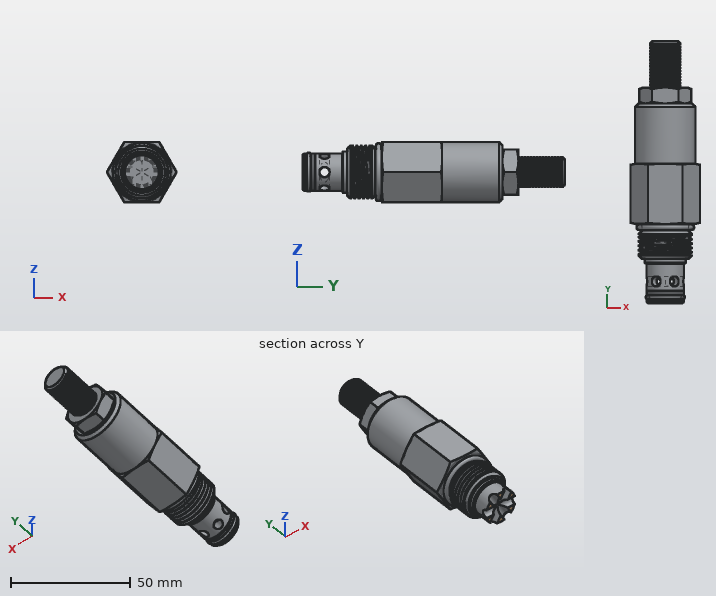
import cadquery as cq
import math

TOTAL_LENGTH = 110.2

NOSE_DIA = 15.9
LAND_DIA = 15.8
NOSE_CHAMFER = 0.8
NOSE_GROOVE_DIA = 13.3
NOSE_GROOVE_START = 1.5
NOSE_GROOVE_END = 3.7
SLIT_START = 5.1
SLIT_WIDTH = 0.3
SLIT_DEPTH = 0.3
PORT_DIA = 4.2
PORT_COUNT = 6
PORT_Y = 9.3

COLLAR_DIA = 17.4
COLLAR_START = 16.6
COLLAR_CHAMFER_LENGTH = 0.4
COLLAR_END = 18.7

RELIEF_START = 30.5
THREAD_DIA = 22.3
THREAD_ROOT_DIA = 19.6
THREAD_TURNS = 5
THREAD_START_ANGLE = 82.0
RELIEF_DIA = 19.5

HEX_START = 33.4
HEX_END = 58.6
HEX_CORNERS = 29.3
HEX_FACE_DIA = 25.3
HEX_BEVEL = 0.4
BARREL_DIA = 25.5
BARREL_END = 83.9
BARREL_CHAMFER = 1.5

NUT_HEIGHT = 6.6
NUT_ACROSS_FLATS = 19.1
NUT_FACE_DIA = 19.1
NUT_BEVEL = 0.7
STUD_DIA = 12.7
STUD_ROOT_DIA = 10.8
STUD_TURNS = 14.6
STUD_CHAMFER = 1.1
STUD_START_ANGLE = 180.0

CREST_SHARE = 0.12
ROOT_SHARE = 0.08
FLANK_STEPS = 9

SMALL_RING_SECTION = 1.5
LARGE_RING_SECTION = 2.4

NUT_END = BARREL_END + NUT_HEIGHT
STUD_THREAD_END = TOTAL_LENGTH - STUD_CHAMFER
THREAD_CONE = (THREAD_DIA - THREAD_ROOT_DIA) / 2
THREAD_START = COLLAR_END + THREAD_CONE
THREAD_END = RELIEF_START - THREAD_CONE


def revolve_profile(points):
    """Turn a closed outline of (radius, Y) points about the Y axis."""
    return cq.Workplane("XY").polyline(points).close().revolve(360, (0, 0, 0), (0, 1, 0))


def along_y(shape):
    """Lay a shape built along Z down along Y."""
    return shape.rotate((0, 0, 0), (1, 0, 0), -90)


def thread_section(crest_dia, root_dia):
    """Cross-section of a thread: a crest arc and a root arc joined by two spiral flanks."""
    crest, root = crest_dia / 2, root_dia / 2
    crest_edge = math.pi * CREST_SHARE
    root_edge = math.pi * (1 - ROOT_SHARE)

    def flank_point(step, side):
        part = step / FLANK_STEPS
        radius = crest + (root - crest) * part
        angle = side * (crest_edge + (root_edge - crest_edge) * part)
        return (radius * math.cos(angle), radius * math.sin(angle))

    falling = [flank_point(step, 1) for step in range(FLANK_STEPS + 1)]
    rising = [flank_point(step, -1) for step in reversed(range(FLANK_STEPS + 1))]
    return (
        cq.Workplane("XY")
        .moveTo(*rising[-1])
        .threePointArc((crest, 0), falling[0])
        .spline(falling[1:], includeCurrent=True)
        .threePointArc((-root, 0), rising[0])
        .spline(rising[1:], includeCurrent=True)
        .close()
    )


def threaded_rod(crest_dia, root_dia, turns, start, end, start_angle):
    """Right-handed threaded rod, made by twisting the thread's cross-section along its length."""
    length = end - start
    rod = thread_section(crest_dia, root_dia).twistExtrude(length, 360 * turns)
    return along_y(rod.rotate((0, 0, 0), (0, 0, 1), start_angle)).translate((0, start, 0))


def bevelled_hexagon(across_corners, start, end, face_dia, bevel):
    """Hexagonal prism with corners on X, its corners bevelled at both ends."""
    prism = cq.Workplane("XY").polygon(6, across_corners).extrude(end - start)
    corner, face = across_corners / 2, face_dia / 2
    envelope = revolve_profile([
        (0, start),
        (face, start),
        (corner, start + bevel),
        (corner, end - bevel),
        (face, end),
        (0, end),
    ])
    return along_y(prism).translate((0, start, 0)).intersect(envelope)


def make_nose():
    """Nose with its groove, slit and ports, the collar, and the cone that leads into the thread."""
    nose, land, collar = NOSE_DIA / 2, LAND_DIA / 2, COLLAR_DIA / 2
    floor = NOSE_GROOVE_DIA / 2
    slit_end = SLIT_START + SLIT_WIDTH
    body = revolve_profile([
        (0, 0),
        (land - NOSE_CHAMFER, 0),
        (land, NOSE_CHAMFER),
        (land, NOSE_GROOVE_START),
        (floor, NOSE_GROOVE_START),
        (floor, NOSE_GROOVE_END),
        (land, NOSE_GROOVE_END),
        (land, SLIT_START),
        (land - SLIT_DEPTH, SLIT_START),
        (land - SLIT_DEPTH, slit_end),
        (nose, slit_end),
        (nose, COLLAR_START),
        (collar, COLLAR_START + COLLAR_CHAMFER_LENGTH),
        (collar, COLLAR_END),
        (THREAD_ROOT_DIA / 2, COLLAR_END),
        (THREAD_DIA / 2, THREAD_START),
        (0, THREAD_START),
    ])
    for index in range(PORT_COUNT):
        port = cq.Workplane("YZ").circle(PORT_DIA / 2).extrude(NOSE_DIA)
        port = port.rotate((0, 0, 0), (0, 1, 0), index * 360 / PORT_COUNT)
        body = body.cut(port.translate((0, PORT_Y, 0)))
    return body


def make_cavity_thread():
    return threaded_rod(
        THREAD_DIA, THREAD_ROOT_DIA, THREAD_TURNS, THREAD_START, THREAD_END, THREAD_START_ANGLE
    )


def make_relief():
    """Cone that closes the thread, then the plain neck up to the hexagon."""
    neck = RELIEF_DIA / 2
    return revolve_profile([
        (0, THREAD_END),
        (THREAD_DIA / 2, THREAD_END),
        (THREAD_ROOT_DIA / 2, RELIEF_START),
        (neck, RELIEF_START),
        (neck, HEX_START),
        (0, HEX_START),
    ])


def make_stud():
    """Adjusting stud: a threaded rod with a plain conical tip."""
    rod = threaded_rod(STUD_DIA, STUD_ROOT_DIA, STUD_TURNS, NUT_END, STUD_THREAD_END, STUD_START_ANGLE)
    radius = STUD_DIA / 2
    tip = revolve_profile([
        (0, STUD_THREAD_END),
        (radius, STUD_THREAD_END),
        (radius - STUD_CHAMFER, TOTAL_LENGTH),
        (0, TOTAL_LENGTH),
    ])
    return rod.union(tip)


def make_barrel():
    radius = BARREL_DIA / 2
    return revolve_profile([
        (0, HEX_END),
        (radius, HEX_END),
        (radius, BARREL_END - BARREL_CHAMFER),
        (radius - BARREL_CHAMFER, BARREL_END),
        (0, BARREL_END),
    ])


def make_cartridge():
    nut_corners = NUT_ACROSS_FLATS / math.cos(math.pi / 6)
    return (
        make_nose()
        .union(make_cavity_thread())
        .union(make_relief())
        .union(bevelled_hexagon(HEX_CORNERS, HEX_START, HEX_END, HEX_FACE_DIA, HEX_BEVEL))
        .union(make_barrel())
        .union(bevelled_hexagon(nut_corners, BARREL_END, NUT_END, NUT_FACE_DIA, NUT_BEVEL))
        .union(make_stud())
    )


def make_ring(seat_dia, section, y):
    """O-ring resting on a seat of the given diameter."""
    centre_radius = (seat_dia + section) / 2
    return cq.Workplane("XY").center(centre_radius, y).circle(section / 2).revolve(
        360, (-centre_radius, 0, 0), (-centre_radius, 1, 0)
    )


cartridge = make_cartridge()
small_ring = make_ring(NOSE_GROOVE_DIA, SMALL_RING_SECTION, (NOSE_GROOVE_START + NOSE_GROOVE_END) / 2)
large_ring = make_ring(RELIEF_DIA, LARGE_RING_SECTION, (RELIEF_START + HEX_START) / 2)

result = cq.Compound.makeCompound([*cartridge.solids().vals(), small_ring.val(), large_ring.val()])